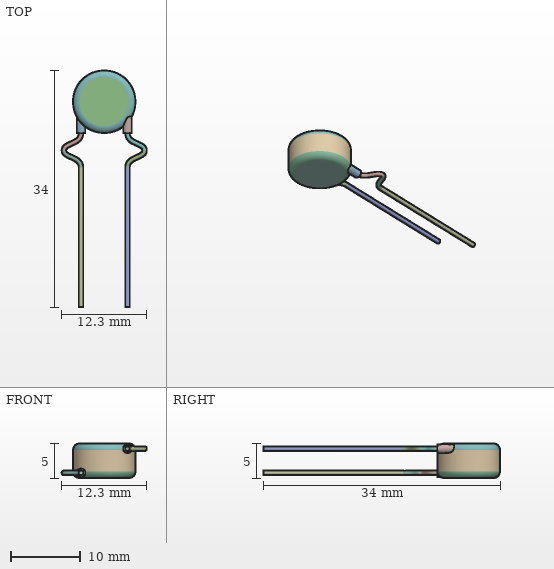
import cadquery as cq

disc_diameter = 9.0
disc_height = 5.0
edge_radius = 1.0

collar_diameter = 1.25
collar_start_y = -2.38
collar_end_y = -disc_diameter / 2

lead_diameter = 0.68
lead_offset_x = 3.33
lead_offset_z = 1.75
overall_width = 12.27
overall_length = 34.0
kink_half_length = 2.48
kink_root_handle = 1.63
kink_tip_handle = 1.1

kink_tip_x = (overall_width - lead_diameter) / 2
kink_tip_y = collar_end_y - kink_half_length
kink_end_y = kink_tip_y - kink_half_length
lead_tip_y = disc_diameter / 2 - overall_length

sides = (-1, 1)


def rod_along_y(side, diameter, start_y, end_y):
    """Round rod on the axis of one lead, running toward -Y."""
    return (
        cq.Workplane("XZ", origin=(side * lead_offset_x, start_y, side * lead_offset_z))
        .circle(diameter / 2)
        .extrude(start_y - end_y)
    )


def make_collar(side):
    """Collar with a domed inner end that runs out into the rounded disc edge."""
    dome_centre = (side * lead_offset_x, collar_start_y, side * lead_offset_z)
    dome = cq.Workplane("XY", origin=dome_centre).sphere(collar_diameter / 2)
    return rod_along_y(side, collar_diameter, collar_start_y, collar_end_y).union(dome)


def make_housing():
    """Rounded disc with two domed collars, each bored for its lead."""
    disc_base = cq.Workplane("XY", origin=(0, 0, -disc_height / 2))
    body = disc_base.circle(disc_diameter / 2).extrude(disc_height)
    body = body.edges().fillet(edge_radius)
    for side in sides:
        body = body.union(make_collar(side))
    for side in sides:
        body = body.cut(rod_along_y(side, lead_diameter, collar_start_y, collar_end_y))
    return body


def make_lead(side):
    """Wire that leaves its collar, kinks outward and back, then runs straight."""
    near_x = side * lead_offset_x
    far_x = side * kink_tip_x
    path = (
        cq.Workplane("XY", origin=(0, 0, side * lead_offset_z))
        .moveTo(near_x, collar_start_y)
        .lineTo(near_x, collar_end_y)
        .bezier([
            (near_x, collar_end_y),
            (near_x, collar_end_y - kink_root_handle),
            (far_x, kink_tip_y + kink_tip_handle),
            (far_x, kink_tip_y),
        ])
        .bezier([
            (far_x, kink_tip_y),
            (far_x, kink_tip_y - kink_tip_handle),
            (near_x, kink_end_y + kink_root_handle),
            (near_x, kink_end_y),
        ])
        .lineTo(near_x, lead_tip_y)
    )
    profile = cq.Workplane("XZ", origin=(near_x, collar_start_y, side * lead_offset_z))
    return profile.circle(lead_diameter / 2).sweep(path)


housing = make_housing()
leads = [make_lead(side) for side in sides]

result = cq.Compound.makeCompound([housing.val(), *[lead.val() for lead in leads]])